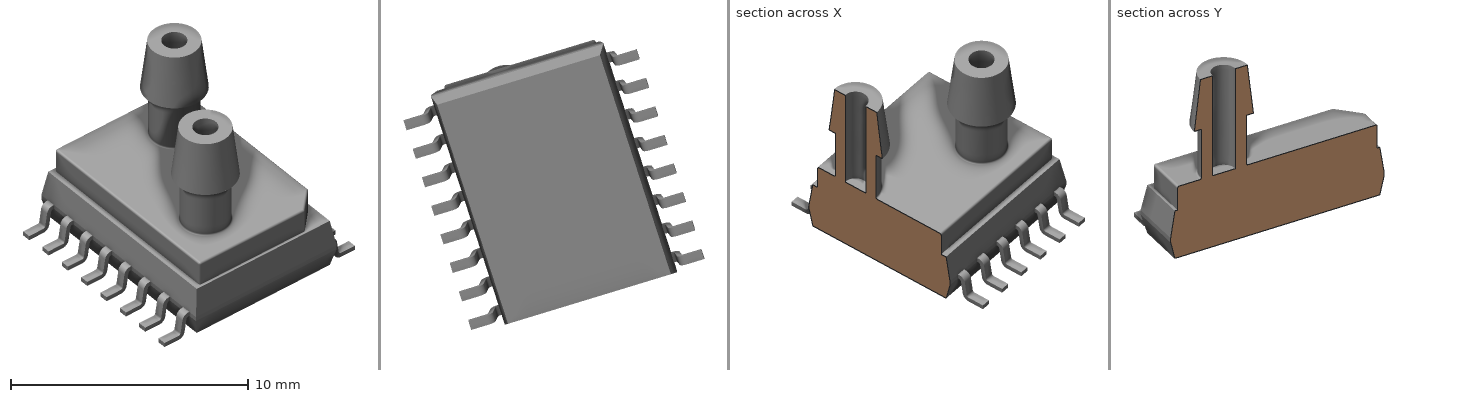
import cadquery as cq
import math

body_length = 10.4
body_width = 7.61
body_taper_inset = 0.21
body_bottom_z = 0.12
belt_bottom_z = 1.01
lead_thickness = 0.22
belt_top_z = belt_bottom_z + lead_thickness
body_top_z = 2.53

cap_length = 9.73
cap_width = 6.68
cap_top_z = 3.7
cap_corner_cut = 1.0
cap_edge_radius = 0.1

port_centers = [(-2.6, 1.3), (2.69, -1.28)]
stem_diameter = 2.2
stem_root_radius = 0.07
barb_bottom_diameter = 2.9
barb_top_diameter = 2.3
barb_bottom_z = 6.18
port_top_z = 8.7
bore_diameter = 1.1

leads_per_side = 8
lead_pitch = 1.3
lead_width = 0.41
lead_span = 10.3
lead_inner_bend_radius = 0.1
lead_shank_angle = math.radians(9)
lead_flat = 0.05
lead_embed = 0.31


def body_frustum(start_z, end_z):
    """Tapered block from the belt outline at start_z to the inset outline at end_z."""
    return (
        cq.Workplane("XY", origin=(0, 0, start_z))
        .rect(body_length, body_width)
        .workplane(offset=end_z - start_z)
        .rect(body_length - 2 * body_taper_inset, body_width - 2 * body_taper_inset)
        .loft(ruled=True)
    )


def make_body():
    belt = (
        cq.Workplane("XY", origin=(0, 0, belt_bottom_z))
        .rect(body_length, body_width)
        .extrude(lead_thickness)
    )
    upper = body_frustum(belt_top_z, body_top_z)
    lower = body_frustum(belt_bottom_z, body_bottom_z)
    return belt.union(upper).union(lower)


def make_cap():
    cap = (
        cq.Workplane("XY", origin=(0, 0, body_top_z))
        .rect(cap_length, cap_width)
        .extrude(cap_top_z - body_top_z)
        .edges("|Z and >X and >Y")
        .chamfer(cap_corner_cut)
    )
    cap = cap.edges("|Z").fillet(cap_edge_radius)
    return cap.faces(">Z").edges().fillet(cap_edge_radius)


def make_port():
    """Port revolved about Z, with its bore ending level with the cap top."""
    stem_radius = stem_diameter / 2
    bore_radius = bore_diameter / 2
    root_z = cap_top_z + stem_root_radius
    root_middle = stem_root_radius * (1 - math.sqrt(0.5))
    return (
        cq.Workplane("XZ")
        .moveTo(0, body_top_z)
        .lineTo(stem_radius + stem_root_radius, body_top_z)
        .lineTo(stem_radius + stem_root_radius, cap_top_z)
        .threePointArc((stem_radius + root_middle, cap_top_z + root_middle), (stem_radius, root_z))
        .lineTo(stem_radius, barb_bottom_z)
        .lineTo(barb_bottom_diameter / 2, barb_bottom_z)
        .lineTo(barb_top_diameter / 2, port_top_z)
        .lineTo(bore_radius, port_top_z)
        .lineTo(bore_radius, cap_top_z)
        .lineTo(0, cap_top_z)
        .close()
        .revolve(360, (0, 0, 0), (0, 1, 0))
    )


def make_lead():
    """Lead on the +Y side, centred on X = 0: a strip swept along its bent centreline."""
    bend_radius = lead_inner_bend_radius + lead_thickness / 2
    foot_z = lead_thickness / 2
    root_z = belt_bottom_z + lead_thickness / 2
    anchor_y = body_width / 2 - lead_embed
    shoulder_y = body_width / 2 + lead_flat

    reach_y = bend_radius * math.cos(lead_shank_angle)
    reach_z = bend_radius * math.sin(lead_shank_angle)
    shank_top = (shoulder_y + reach_y, root_z - bend_radius + reach_z)
    shank_bottom_z = foot_z + bend_radius - reach_z
    shank_drop = shank_top[1] - shank_bottom_z
    shank_bottom = (shank_top[0] + shank_drop * math.tan(lead_shank_angle), shank_bottom_z)
    heel = (shank_bottom[0] + reach_y, foot_z)

    centreline = (
        cq.Workplane("YZ")
        .moveTo(anchor_y, root_z)
        .lineTo(shoulder_y, root_z)
        .tangentArcPoint(shank_top, relative=False)
        .lineTo(*shank_bottom)
        .tangentArcPoint(heel, relative=False)
        .lineTo(lead_span / 2, foot_z)
    )
    return (
        cq.Workplane("XZ", origin=(0, anchor_y, root_z))
        .rect(lead_width, lead_thickness)
        .sweep(centreline)
    )


result = make_body().union(make_cap())

port = make_port()
for port_x, port_y in port_centers:
    result = result.union(port.translate((port_x, port_y, 0)))

front_lead = make_lead().mirror("XZ")
back_lead = make_lead()
for index in range(leads_per_side):
    lead_x = (index - (leads_per_side - 1) / 2) * lead_pitch
    for lead in (front_lead, back_lead):
        result = result.union(lead.translate((lead_x, 0, 0)))